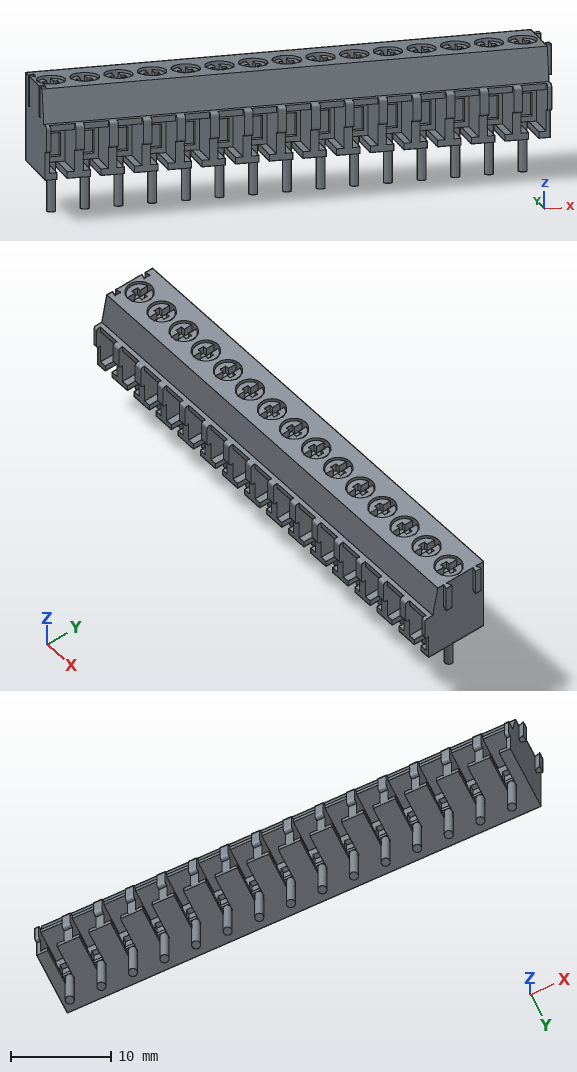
import cadquery as cq


TOTAL_LENGTH = 53.05
TONGUE_LENGTH = 0.6
POLES = 15
BODY_LENGTH = TOTAL_LENGTH - TONGUE_LENGTH
PITCH = BODY_LENGTH / POLES
BODY_HEIGHT = 9.2
PIN_LENGTH = 4.5
PIN_DIAMETER = 0.9
POST_DEPTH = 3.1

TOP_DEPTH = 5.9
SLOPE_FOOT_DEPTH = 6.55
BODY_DEPTH = 7.05
TOTAL_DEPTH = 7.55
NOSE_HEIGHT = 2.75
NOSE_SETDOWN = 3.5
NOSE_TOP = BODY_HEIGHT - NOSE_SETDOWN
NOSE_BOTTOM = NOSE_TOP - NOSE_HEIGHT
NOSE_RADIUS = 0.3

POCKET_WIDTH = 2.6
POCKET_FLOOR = 0.7
LIP_HEIGHT = 0.65
POCKET_CEILING = NOSE_TOP - LIP_HEIGHT
POCKET_DEPTH = BODY_DEPTH - POST_DEPTH - PIN_DIAMETER / 2
PIN_SLOT_WIDTH = 1.05
WINDOW_WIDTH = 1.7
WINDOW_HEIGHT = 2.45
WINDOW_BOTTOM = 1.3
WINDOW_DEPTH = 0.55

SCREW_WELL_DIAMETER = 2.9
SCREW_HEAD_DIAMETER = 2.7
SCREW_WELL_DEPTH = 1.35
SCREW_HEAD_HEIGHT = 1.05
DRIVE_WIDTH = 0.7
DRIVE_SHORT_LENGTH = 1.55
DRIVE_DEPTH = 0.95

TONGUE_HEIGHT = 3.2
TONGUE_ROOT_WIDTH = 0.35
TONGUE_TIP_WIDTH = 0.75
TONGUE_DEPTHS = (1.15, 4.95)

POLE_CENTRES = [(pole + 0.5) * PITCH for pole in range(POLES)]


def box(x_size, y_front, y_rear, z_bottom, z_top, x_centre):
    """Box centred on x_centre, between the given Y and Z limits."""
    return (
        cq.Workplane("XY")
        .box(x_size, y_rear - y_front, z_top - z_bottom, centered=(True, False, False))
        .translate((x_centre, y_front, z_bottom))
    )


def disc(diameter, z_bottom, z_top, x_centre):
    """Upright cylinder on the line of the pins and screws."""
    return (
        cq.Workplane("XY", origin=(x_centre, -POST_DEPTH, z_bottom))
        .circle(diameter / 2)
        .extrude(z_top - z_bottom)
    )


def housing():
    """Housing profile in the YZ plane, extruded along the row of poles."""
    arc_start = TOTAL_DEPTH - NOSE_RADIUS
    top_arc_end = NOSE_TOP - NOSE_RADIUS
    bottom_arc_start = NOSE_BOTTOM + NOSE_RADIUS
    return (
        cq.Workplane("YZ")
        .lineTo(0, BODY_HEIGHT)
        .lineTo(-TOP_DEPTH, BODY_HEIGHT)
        .lineTo(-SLOPE_FOOT_DEPTH, NOSE_TOP)
        .lineTo(-arc_start, NOSE_TOP)
        .radiusArc((-TOTAL_DEPTH, top_arc_end), -NOSE_RADIUS)
        .lineTo(-TOTAL_DEPTH, bottom_arc_start)
        .radiusArc((-arc_start, NOSE_BOTTOM), -NOSE_RADIUS)
        .lineTo(-BODY_DEPTH, NOSE_BOTTOM)
        .lineTo(-BODY_DEPTH, 0)
        .close()
        .extrude(BODY_LENGTH)
    )


def pocket_cut(x):
    """Wire pocket, the nose gap in front of it, its window and the pin slot."""
    rear = POCKET_DEPTH - BODY_DEPTH
    pocket = box(POCKET_WIDTH, -TOTAL_DEPTH, rear, POCKET_FLOOR, POCKET_CEILING, x)
    nose_gap = box(POCKET_WIDTH, -TOTAL_DEPTH, -BODY_DEPTH, NOSE_BOTTOM, NOSE_TOP, x)
    window_top = WINDOW_BOTTOM + WINDOW_HEIGHT
    window = box(WINDOW_WIDTH, rear, rear + WINDOW_DEPTH, WINDOW_BOTTOM, window_top, x)
    pin_slot = box(PIN_SLOT_WIDTH, -BODY_DEPTH, -POST_DEPTH, 0, POCKET_FLOOR, x)
    return pocket.union(nose_gap).union(window).union(pin_slot)


def screw(x):
    """Screw head standing in its well, with a long and a short drive slot."""
    well_floor = BODY_HEIGHT - SCREW_WELL_DEPTH
    head_top = well_floor + SCREW_HEAD_HEIGHT
    drive_floor = head_top - DRIVE_DEPTH
    head = disc(SCREW_HEAD_DIAMETER, well_floor, head_top, x)

    def drive_slot(x_size, y_size):
        y_front = -POST_DEPTH - y_size / 2
        return box(x_size, y_front, y_front + y_size, drive_floor, head_top, x)

    long_slot = drive_slot(DRIVE_WIDTH, SCREW_HEAD_DIAMETER)
    short_slot = drive_slot(DRIVE_SHORT_LENGTH, DRIVE_WIDTH)
    return head.cut(long_slot).cut(short_slot)


def dovetails(x_root):
    """Pair of upright dovetail bars widening along +X, level with the top face."""
    bars = cq.Workplane("XY", origin=(x_root, 0, BODY_HEIGHT - TONGUE_HEIGHT))
    half_root = TONGUE_ROOT_WIDTH / 2
    half_tip = TONGUE_TIP_WIDTH / 2
    for depth in TONGUE_DEPTHS:
        bars = bars.polyline([
            (0, -depth - half_root),
            (TONGUE_LENGTH, -depth - half_tip),
            (TONGUE_LENGTH, -depth + half_tip),
            (0, -depth + half_root),
        ]).close()
    return bars.extrude(TONGUE_HEIGHT)


result = housing().cut(dovetails(0)).union(dovetails(BODY_LENGTH))
for x in POLE_CENTRES:
    well = disc(SCREW_WELL_DIAMETER, BODY_HEIGHT - SCREW_WELL_DEPTH, BODY_HEIGHT, x)
    pin = disc(PIN_DIAMETER, -PIN_LENGTH, POCKET_FLOOR, x)
    result = result.cut(well).cut(pocket_cut(x)).union(screw(x)).union(pin)